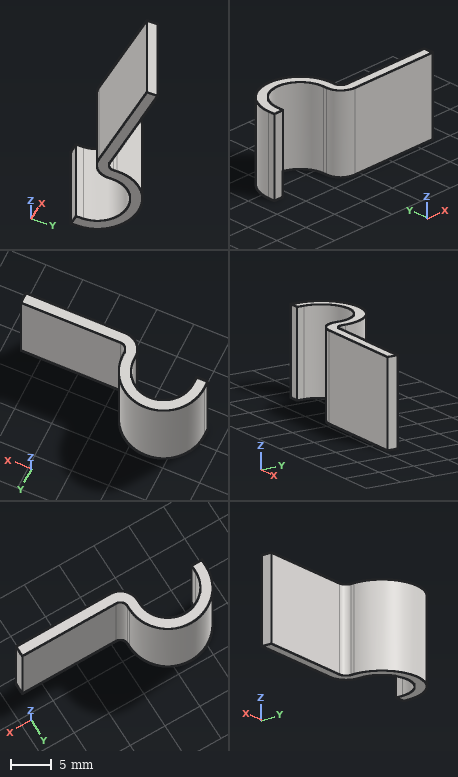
import cadquery as cq

overall_length = 25.5
strip_width = 12.0
thickness = 1.5
hook_inner_radius = 4.0
bend_inner_radius = 1.0
free_leg_length = 1.0
joining_leg_length = 0.48

hook_outer_radius = hook_inner_radius + thickness
bend_outer_radius = bend_inner_radius + thickness

bend_x = hook_inner_radius + bend_outer_radius
bend_y = -joining_leg_length
flange_bottom = bend_y - bend_outer_radius
flange_top = flange_bottom + thickness
flange_end = overall_length - hook_outer_radius


def bend_arc(sketch, radius, end):
    """Add the quarter bend's arc of the given radius, finishing at end."""
    diagonal = radius * 0.5**0.5
    return sketch.threePointArc((bend_x - diagonal, bend_y - diagonal), end)


profile = (
    cq.Workplane("XY")
    .moveTo(-hook_outer_radius, -free_leg_length)
    .lineTo(-hook_inner_radius, -free_leg_length)
    .lineTo(-hook_inner_radius, 0)
    .threePointArc((0, hook_inner_radius), (hook_inner_radius, 0))
    .lineTo(hook_inner_radius, bend_y)
)
profile = bend_arc(profile, bend_outer_radius, (bend_x, flange_bottom))

profile = (
    profile.lineTo(flange_end, flange_bottom)
    .lineTo(flange_end, flange_top)
    .lineTo(bend_x, flange_top)
)
profile = bend_arc(profile, bend_inner_radius, (bend_x - bend_inner_radius, bend_y))
profile = (
    profile.lineTo(hook_outer_radius, 0)
    .threePointArc((0, hook_outer_radius), (-hook_outer_radius, 0))
    .close()
)

result = profile.extrude(strip_width)